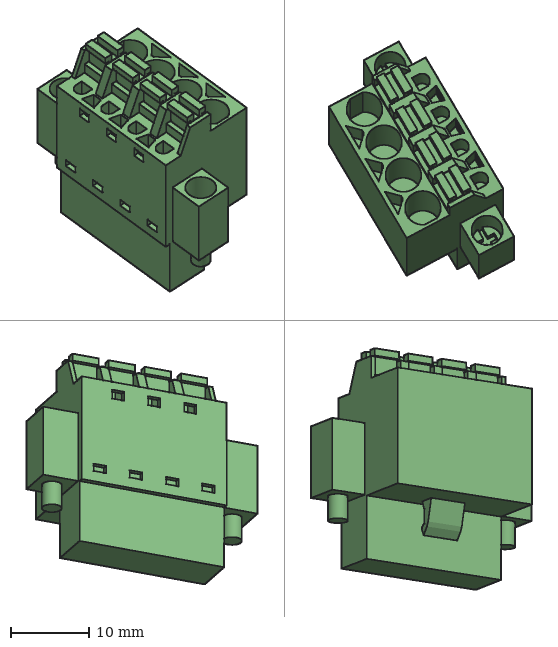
import cadquery as cq

PITCH = 5.08
POLES = 4
HOUSING_WIDTH = POLES * PITCH
HOUSING_DEPTH = 14.2

PLUG_BOTTOM = -8.35
FRONT_LEDGE_TOP = 14.33
SLOT_FLOOR = 15.83
REAR_DECK_TOP = 15.3
TOWER_TOP = 18.22
BUTTON_TOP = 19.38

SLOPE_FOOT_Y = 2.61
SLOPE_HEAD_Y = 4.29
TOWER_REAR_Y = 7.86
PLUG_FRONT_Y = 0.72
PLUG_REAR_Y = 6.77

FLANGE_WIDTH = 4.9
FLANGE_X = (HOUSING_WIDTH + FLANGE_WIDTH) / 2
FLANGE_FRONT_Y = 1.19
FLANGE_DEPTH = 5.16
FLANGE_BOTTOM = 0.2
FLANGE_TOP = 9.68

SCREW_OFFSET = 2.49
SCREW_X = HOUSING_WIDTH / 2 + SCREW_OFFSET
SCREW_Y = 3.8
SCREW_HEAD_HOLE_DIAMETER = 3.96
SCREW_HEAD_DIAMETER = 3.8
SCREW_HEAD_SEAT = 3.0
SCREW_HEAD_HEIGHT = 2.5
SCREW_SHANK_DIAMETER = 2.54
SCREW_TIP = -3.02
CROSS_LONG_SLOT_WIDTH = 0.62
CROSS_SHORT_SLOT_WIDTH = 0.84
CROSS_SHORT_SLOT_LENGTH = 2.55
CROSS_DEPTH = 1.0

BUTTON_WIDTH = 3.7
SLOT_WIDTH = 3.84
HEAD_UNDERSIDE = 18.42
FRONT_HEAD_Y = 4.4
FRONT_STEM_Y = 5.02
GROOVE_FRONT_Y = 5.54
GROOVE_REAR_Y = 6.52
REAR_STEM_Y = 7.05
REAR_HEAD_Y = 7.6

WELL_DIAMETER = 4.55
WELL_Y = 10.4
WELL_DEPTH = 8.0
END_WALL = 0.45

REAR_POCKET_BASE_Y = 13.57
REAR_POCKET_TIP_Y = 12.04
REAR_POCKET_BASE_WIDTH = 3.5
REAR_POCKET_TIP_WIDTH = 0.44
REAR_POCKET_DEPTH = 4.0

TEST_HOLE_RADIUS = 0.985
TEST_HOLE_CENTRE_Y = 1.94
TEST_HOLE_REAR_Y = 2.9
TEST_HOLE_DEPTH = 4.0

FRONT_POCKET_FRONT_Y = 0.69
FRONT_POCKET_REAR_Y = 2.31
FRONT_POCKET_FRONT_WIDTH = 2.24
FRONT_POCKET_REAR_WIDTH = 1.36
FRONT_POCKET_FLOOR = 11.0

UPPER_WINDOW_WIDTH = 1.68
UPPER_WINDOW_BOTTOM = 12.0
UPPER_WINDOW_TOP = 13.25
LOWER_WINDOW_DEPTH = 0.72
LOWER_WINDOW_WIDTH = 1.76
LOWER_WINDOW_BOTTOM = 1.43
LOWER_WINDOW_TOP = 2.45

LATCH_WIDTH = PITCH
LATCH_PROFILE = [
    (10.18, 0),
    (9.44, -2.96),
    (9.14, -3.55),
    (8.34, -4.55),
    (7.84, -3.5),
    (8.44, -3.0),
    (8.44, -1.07),
    (8.05, 0),
]

POLE_XS = [(i - (POLES - 1) / 2) * PITCH for i in range(POLES)]
GAP_XS = [(i - (POLES - 2) / 2) * PITCH for i in range(POLES - 1)]


def block(x_centre, width, y_front, y_rear, z_bottom, z_top):
    """Rectangular block centred on x_centre and placed by its Y and Z limits."""
    return cq.Workplane("XY").box(
        width, y_rear - y_front, z_top - z_bottom, centered=(True, False, False)
    ).translate((x_centre, y_front, z_bottom))


def side_prism(points, x_centre, width):
    """Outline in (Y, Z) extruded along X, centred on x_centre."""
    return cq.Workplane("YZ", origin=(x_centre - width / 2, 0, 0)).polyline(points).close().extrude(width)


def tapered_pocket(x_centre, y_front, front_width, y_rear, rear_width, z_floor, z_top):
    """Prism with a trapezoidal plan whose parallel edges run along X."""
    points = [
        (x_centre - front_width / 2, y_front),
        (x_centre + front_width / 2, y_front),
        (x_centre + rear_width / 2, y_rear),
        (x_centre - rear_width / 2, y_rear),
    ]
    return cq.Workplane("XY", origin=(0, 0, z_floor)).polyline(points).close().extrude(z_top - z_floor)


def main_block():
    """Housing with its stepped top and sloped tower, and the plug below it."""
    profile = [
        (0, 0),
        (PLUG_FRONT_Y, 0),
        (PLUG_FRONT_Y, PLUG_BOTTOM),
        (PLUG_REAR_Y, PLUG_BOTTOM),
        (PLUG_REAR_Y, 0),
        (HOUSING_DEPTH, 0),
        (HOUSING_DEPTH, REAR_DECK_TOP),
        (TOWER_REAR_Y, REAR_DECK_TOP),
        (TOWER_REAR_Y, TOWER_TOP),
        (SLOPE_HEAD_Y, TOWER_TOP),
        (SLOPE_FOOT_Y, FRONT_LEDGE_TOP),
        (0, FRONT_LEDGE_TOP),
    ]
    return side_prism(profile, 0, HOUSING_WIDTH)


def latch():
    """Bent hook that hangs from the underside behind the plug."""
    return side_prism(LATCH_PROFILE, 0, LATCH_WIDTH)


def flange(side):
    """Screw flange with a deep counterbore and a close-fitting shank hole."""
    body = block(
        side * FLANGE_X, FLANGE_WIDTH,
        FLANGE_FRONT_Y, FLANGE_FRONT_Y + FLANGE_DEPTH,
        FLANGE_BOTTOM, FLANGE_TOP,
    )
    return (
        body.faces(">Z").workplane(origin=(side * SCREW_X, SCREW_Y, FLANGE_TOP))
        .cboreHole(SCREW_SHANK_DIAMETER, SCREW_HEAD_HOLE_DIAMETER, FLANGE_TOP - SCREW_HEAD_SEAT)
    )


def button_slot(x):
    """Slot across the tower, dropping to the front ledge ahead of the button."""
    upper = block(x, SLOT_WIDTH, 0, TOWER_REAR_Y, SLOT_FLOOR, TOWER_TOP)
    front = block(x, SLOT_WIDTH, 0, SLOPE_HEAD_Y, FRONT_LEDGE_TOP, TOWER_TOP)
    return upper.union(front)


def wire_well(x):
    """Round well in the rear deck, cut off flat at the end walls."""
    well_floor = REAR_DECK_TOP - WELL_DEPTH
    well = cq.Workplane("XY", origin=(x, WELL_Y, well_floor)).circle(WELL_DIAMETER / 2).extrude(WELL_DEPTH)
    inner_width = HOUSING_WIDTH - 2 * END_WALL
    return well.intersect(block(0, inner_width, 0, HOUSING_DEPTH, well_floor, REAR_DECK_TOP))


def test_hole(x):
    """D-shaped hole with its round side toward the front."""
    return (
        cq.Workplane("XY", origin=(x, 0, FRONT_LEDGE_TOP - TEST_HOLE_DEPTH))
        .moveTo(-TEST_HOLE_RADIUS, TEST_HOLE_REAR_Y)
        .lineTo(-TEST_HOLE_RADIUS, TEST_HOLE_CENTRE_Y)
        .threePointArc((0, TEST_HOLE_CENTRE_Y - TEST_HOLE_RADIUS), (TEST_HOLE_RADIUS, TEST_HOLE_CENTRE_Y))
        .lineTo(TEST_HOLE_RADIUS, TEST_HOLE_REAR_Y)
        .close()
        .extrude(TEST_HOLE_DEPTH)
    )


def make_housing():
    housing = main_block().union(latch())
    for side in (-1, 1):
        housing = housing.union(flange(side))
    for x in POLE_XS:
        housing = housing.cut(button_slot(x))
        housing = housing.cut(wire_well(x))
        housing = housing.cut(test_hole(x))
        housing = housing.cut(
            block(x, LOWER_WINDOW_WIDTH, 0, LOWER_WINDOW_DEPTH, LOWER_WINDOW_BOTTOM, LOWER_WINDOW_TOP)
        )
    for x in GAP_XS:
        housing = housing.cut(
            tapered_pocket(
                x, REAR_POCKET_TIP_Y, REAR_POCKET_TIP_WIDTH,
                REAR_POCKET_BASE_Y, REAR_POCKET_BASE_WIDTH,
                REAR_DECK_TOP - REAR_POCKET_DEPTH, REAR_DECK_TOP,
            )
        )
        housing = housing.cut(
            tapered_pocket(
                x, FRONT_POCKET_FRONT_Y, FRONT_POCKET_FRONT_WIDTH,
                FRONT_POCKET_REAR_Y, FRONT_POCKET_REAR_WIDTH,
                FRONT_POCKET_FLOOR, FRONT_LEDGE_TOP,
            )
        )
        housing = housing.cut(
            block(x, UPPER_WINDOW_WIDTH, 0, FRONT_POCKET_FRONT_Y, UPPER_WINDOW_BOTTOM, UPPER_WINDOW_TOP)
        )
    return housing


def make_button(x):
    """Push button standing on the slot floor, with two lipped heads either side of a groove."""
    profile = [
        (FRONT_STEM_Y, SLOT_FLOOR),
        (REAR_STEM_Y, SLOT_FLOOR),
        (REAR_STEM_Y, HEAD_UNDERSIDE),
        (REAR_HEAD_Y, HEAD_UNDERSIDE),
        (REAR_HEAD_Y, BUTTON_TOP),
        (GROOVE_REAR_Y, BUTTON_TOP),
        (GROOVE_REAR_Y, TOWER_TOP),
        (GROOVE_FRONT_Y, TOWER_TOP),
        (GROOVE_FRONT_Y, BUTTON_TOP),
        (FRONT_HEAD_Y, BUTTON_TOP),
        (FRONT_HEAD_Y, HEAD_UNDERSIDE),
        (FRONT_STEM_Y, HEAD_UNDERSIDE),
    ]
    return side_prism(profile, x, BUTTON_WIDTH)


def make_screw(x):
    """Cross-recess screw seated in the flange counterbore."""
    head_top = SCREW_HEAD_SEAT + SCREW_HEAD_HEIGHT
    head = (
        cq.Workplane("XY", origin=(x, SCREW_Y, SCREW_HEAD_SEAT))
        .circle(SCREW_HEAD_DIAMETER / 2)
        .extrude(SCREW_HEAD_HEIGHT)
    )
    shank = (
        cq.Workplane("XY", origin=(x, SCREW_Y, SCREW_TIP))
        .circle(SCREW_SHANK_DIAMETER / 2)
        .extrude(SCREW_HEAD_SEAT - SCREW_TIP)
    )
    recess = (
        cq.Workplane("XY", origin=(x, SCREW_Y, head_top - CROSS_DEPTH))
        .rect(SCREW_HEAD_DIAMETER, CROSS_LONG_SLOT_WIDTH)
        .extrude(CROSS_DEPTH)
        .union(
            cq.Workplane("XY", origin=(x, SCREW_Y, head_top - CROSS_DEPTH))
            .rect(CROSS_SHORT_SLOT_WIDTH, CROSS_SHORT_SLOT_LENGTH)
            .extrude(CROSS_DEPTH)
        )
    )
    return head.union(shank).cut(recess)


housing = make_housing()
buttons = [make_button(x) for x in POLE_XS]
screws = [make_screw(side * SCREW_X) for side in (-1, 1)]

result = cq.Compound.makeCompound(
    [housing.solids().val()] + [button.val() for button in buttons] + [screw.val() for screw in screws]
)